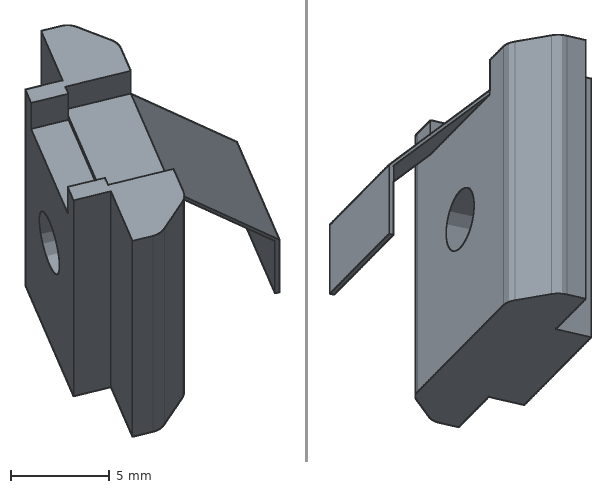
import cadquery as cq

height = 15.0
flange_width = 15.0
flange_depth = 3.5
flange_chamfer = 2.0
edge_radius = 1.0
neck_width = 7.92
neck_depth = 2.0

notch_width = 6.0
notch_depth = 2.0

hole_diameter = 3.3

spring_width = 7.0
spring_thickness = 0.25
spring_reach = 5.67
spring_leg = 4.0

flange_back = flange_depth
notch_floor = height - notch_depth


def centered_box(width, y_start, y_end, z_start, z_end):
    """Box centred on X = 0 between the given Y and Z limits."""
    return (
        cq.Workplane("XY")
        .box(width, y_end - y_start, z_end - z_start, centered=(True, False, False))
        .translate((0, y_start, z_start))
    )


def make_flange():
    """Full-height flange with rounded 45 degree chamfers on its back corners."""
    block = centered_box(flange_width, 0, flange_back, 0, height)
    chamfered = block.edges("|Z and >Y").chamfer(flange_chamfer)
    half_width = flange_width / 2
    side_y = flange_back - flange_chamfer
    back_x = half_width - flange_chamfer
    for side in (-1, 1):
        for x, y in ((side * half_width, side_y), (side * back_x, flange_back)):
            corner = cq.selectors.NearestToPointSelector((x, y, height / 2))
            chamfered = chamfered.edges("|Z").edges(corner).fillet(edge_radius)
    return chamfered


def make_spring():
    """Flat seat, 45 degree slope and vertical leg; the slope spans the thickness measured vertically."""
    seat_top = notch_floor + spring_thickness
    tip_y = flange_back + spring_reach
    knee_z = seat_top - spring_reach
    leg_bottom = knee_z - spring_leg
    profile = [
        (0, seat_top),
        (flange_back, seat_top),
        (tip_y, knee_z),
        (tip_y, leg_bottom),
        (tip_y - spring_thickness, leg_bottom),
        (tip_y - spring_thickness, knee_z),
        (flange_back, notch_floor),
        (0, notch_floor),
    ]
    return (
        cq.Workplane("YZ")
        .polyline(profile)
        .close()
        .extrude(spring_width / 2, both=True)
    )


neck = centered_box(neck_width, -neck_depth, 0, 0, height)
neck_notch = centered_box(notch_width, -neck_depth, 0, notch_floor, height)
spring_notch = centered_box(spring_width, 0, flange_back, notch_floor, height)

screw_hole = (
    cq.Workplane("XZ", origin=(0, flange_back, height / 2))
    .circle(hole_diameter / 2)
    .extrude(flange_depth + neck_depth)
)

block = make_flange().union(neck).cut(neck_notch).cut(spring_notch).cut(screw_hole)
result = block.union(make_spring())